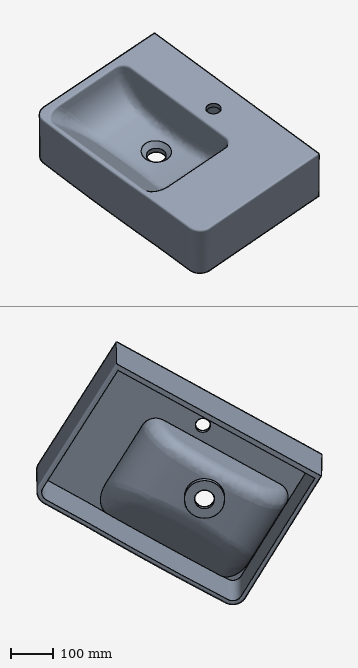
import cadquery as cq
import math


width = 569.0
rear_width = 565.5
height = 145.0
front_flat_depth = 395.0
front_bow = 2.0
bow_end_x = 136.5
corner_radius = 35.0
bottom_inset = 1.0
edge_radius = 4.5
wall = 12.5

bowl_center_x = -73.5
bowl_half_width = 186.5
bowl_depth = 115.5
side_lean = 10.0
floor_edge_depth = 85.5
floor_corner_radius = 97.0
bowl_back_y = -123.5
bowl_front_y = -384.5
back_wall_slope = 2.0
front_slope = 45.0
back_fillet = 24.0
front_fillet = 40.0
lip_radius = 5.5
above_deck = 34.0

tap_radius = 17.5
tap_y = -75.5
drain_y = -193.0
drain_radius = 23.5
drain_rim_radius = 35.0
drain_cone_depth = 12.0
drain_throat = 13.0
throat_top = -bowl_depth - drain_cone_depth
throat_bottom = throat_top - drain_throat


def body_outline(z, inset):
    """Plan of the body at height z, with a bowed front panel to the left of bow_end_x."""
    half = width / 2 - inset
    rear_half = rear_width / 2 - inset
    front_y = -front_flat_depth + inset
    radius = corner_radius - inset
    tangent_x = half - radius
    tangent_y = front_y + radius
    diagonal = radius * math.sqrt(0.5)
    bow_middle = ((bow_end_x - tangent_x) / 2, front_y - front_bow)
    return (
        cq.Workplane("XY", origin=(0, 0, z))
        .moveTo(-rear_half, 0)
        .lineTo(-half, tangent_y)
        .threePointArc((-tangent_x - diagonal, tangent_y - diagonal), (-tangent_x, front_y))
        .threePointArc(bow_middle, (bow_end_x, front_y))
        .lineTo(tangent_x, front_y)
        .threePointArc((tangent_x + diagonal, tangent_y - diagonal), (half, tangent_y))
        .lineTo(rear_half, 0)
        .close()
    )


def make_body():
    """Outer block with a square back, narrowing slightly toward the bottom."""
    top = body_outline(0, 0).val()
    bottom = body_outline(-height, bottom_inset).val()
    block = cq.Workplane(cq.Solid.makeLoft([bottom, top], True))
    return block.faces(">Z or <Z").edges("not >Y").fillet(edge_radius)


def bowl_trough(grow):
    """Trough run along Y, with leaning sides, a gently arched floor and round corners."""
    side_run = math.tan(math.radians(side_lean))
    rim_half = bowl_half_width + grow + side_run * above_deck
    corner_z = -floor_edge_depth - grow
    corner_half = bowl_half_width + grow + side_run * corner_z
    prism = (
        cq.Workplane("XZ", origin=(bowl_center_x, 0, 0))
        .moveTo(-rim_half, above_deck)
        .lineTo(-corner_half, corner_z)
        .threePointArc((0, -bowl_depth - grow), (corner_half, corner_z))
        .lineTo(rim_half, above_deck)
        .close()
        .extrude(width)
    )
    return prism.edges("|Y").edges("not >Z").fillet(floor_corner_radius + grow)


def bowl_side(grow):
    """Lengthwise shape of the bowl: steep back wall and ramped front."""
    base_z = -2 * height
    back_run = math.tan(math.radians(back_wall_slope))
    front_run = math.tan(math.radians(front_slope))
    back = bowl_back_y + grow
    front = bowl_front_y - grow
    return (
        cq.Workplane("YZ")
        .workplane(offset=-width)
        .moveTo(back + back_run * above_deck, above_deck)
        .lineTo(back + back_run * base_z, base_z)
        .lineTo(front - front_run * base_z, base_z)
        .lineTo(front - front_run * above_deck, above_deck)
        .close()
        .extrude(2 * width)
    )


def make_bowl(grow=0.0):
    """Solid that fills the bowl, enlarged by grow on every side."""
    bowl = bowl_trough(grow).intersect(bowl_side(grow))
    bowl = bowl.faces(">Y").edges("not >Z").fillet(back_fillet + grow)
    return bowl.faces("<Y").edges("not >Z").fillet(front_fillet + grow)


def drain_cylinder(radius, top, bottom):
    return (
        cq.Workplane("XY", origin=(bowl_center_x, drain_y, top))
        .circle(radius)
        .extrude(bottom - top)
    )


def make_underside():
    """Hollow below the deck, leaving a wall all round, under the bowl and round the drain."""
    hollow = body_outline(-height, wall).extrude(height - wall)
    back_wall = cq.Workplane("XY").box(width, 2 * wall, 2 * height)
    boss = drain_cylinder(drain_rim_radius + wall, 0, throat_bottom)
    return hollow.cut(back_wall).cut(make_bowl(wall)).cut(boss)


def make_drain():
    """Conical seat leading to the drain hole, carried on above the bowl floor."""
    flare = drain_rim_radius - drain_radius
    cone = cq.Solid.makeCone(
        drain_radius,
        drain_radius + 2 * flare,
        2 * drain_cone_depth,
        pnt=cq.Vector(bowl_center_x, drain_y, throat_top),
    )
    return drain_cylinder(drain_radius, throat_top, -height).union(cq.Workplane(cone))


def soften_lip(basin):
    """Round the edge where the bowl meets the deck."""
    inside = cq.selectors.BoxSelector(
        (bowl_center_x - bowl_half_width - lip_radius, bowl_front_y - lip_radius, -edge_radius / 2),
        (bowl_center_x + bowl_half_width + lip_radius, bowl_back_y + lip_radius, edge_radius / 2),
    )
    return basin.edges(inside).fillet(lip_radius)


tap_hole = cq.Workplane("XY", origin=(0, tap_y, 0)).circle(tap_radius).extrude(-height)

basin = soften_lip(make_body().cut(make_bowl()))
result = basin.cut(make_underside()).cut(make_drain()).cut(tap_hole)